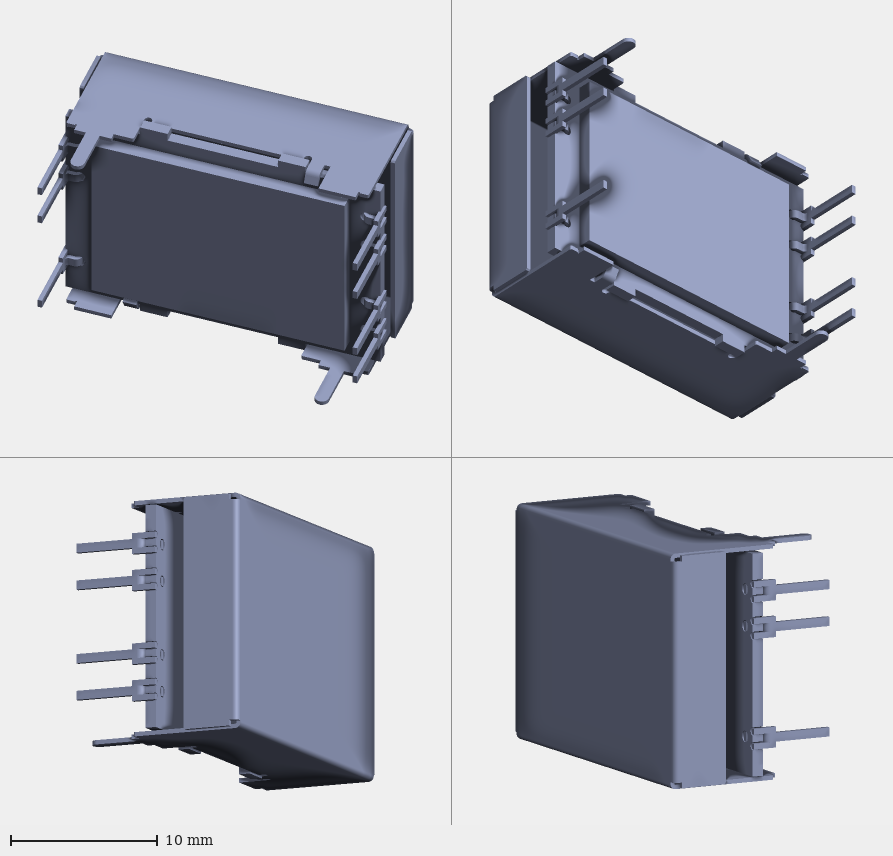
import cadquery as cq
import math


width = 23.15
depth = 12.0
sheet = 0.3
back_y = depth / 2
pin_tip_y = -depth / 2

plate_outer_z = 8.15
plate_inner_z = plate_outer_z - sheet
plate_z = (plate_inner_z, plate_outer_z)
plate_half_x = 10.95
flap_outer_x = 11.42
flap_half_z = 8.04
flap_front_y = 1.95
flap_rear_y = 5.35
flap_corner = 0.12
back_half_z = 7.65
bend_radius = 0.4

foot_front_y = -2.01
foot_corner = 0.15
step_front_y = -2.5
step_inner_x = 7.5
step_outer_x = 10.2
relief_width = 0.12
relief_depth = 0.1
ground_pin_width = 1.0
ground_pin_x = (step_inner_x + step_outer_x) / 2
slot_width = 0.55
slot_outer_x = 6.07
slot_end_y = 0.42

latch_width = 1.0
latch_bend_y = -0.75
latch_bend_radius = 0.2
latch_angle = 62
latch_straight = 0.6

board_back_y = -0.12
board_thickness = 0.79
board_front_y = board_back_y - board_thickness
board_half_x = 11.42
board_half_z = 7.71
lug_inner_x = 4.0
lug_outer_x = 6.0
lug_half_z = 16.6 / 2
block_half_x = 9.17
block_half_z = 6.55
block_thickness = 1.0

inner_row_z = 2.55
outer_row_z = 2 * inner_row_z
left_terminals = (outer_row_z, inner_row_z, -outer_row_z)
right_terminals = (outer_row_z, inner_row_z, -inner_row_z, -outer_row_z)
terminal_outer_x = width / 2
terminal_inner_x = terminal_outer_x - 0.32
head_half_z = 0.72
head_front_y = -1.83
terminal_pin_width = 0.63
window_front_y = -1.45
tongue_thickness = 0.32
leg_bend_radius = 0.19
leg_inner_x = 10.2
leg_hole_radius = 0.4
notch_radius = 0.28


def box(x_range, y_range, z_range):
    """Axis-aligned box between pairs of limits."""
    limits = (x_range, y_range, z_range)
    lows = tuple(min(limit) for limit in limits)
    sizes = tuple(max(limit) - min(limit) for limit in limits)
    return cq.Workplane("XY").box(*sizes, centered=False).translate(lows)


def centred_box(half_x, y_range, half_z):
    """Box centred on the Y axis."""
    return box((-half_x, half_x), y_range, (-half_z, half_z))


def half_turn(body):
    """The same body turned half a turn about Y."""
    return body.rotate((0, 0, 0), (0, 1, 0), 180)



def bent_channel(plane, half_outer, front_y, half_length):
    """U-shaped sheet: two legs and a back wall with rounded bends."""
    def filled_u(half, rear_y, radius):
        return (
            cq.Workplane(plane)
            .moveTo(-half, front_y)
            .lineTo(-half, rear_y - radius)
            .radiusArc((-half + radius, rear_y), radius)
            .lineTo(half - radius, rear_y)
            .radiusArc((half, rear_y - radius), radius)
            .lineTo(half, front_y)
            .close()
            .extrude(half_length, both=True)
        )

    outside = filled_u(half_outer, back_y, bend_radius)
    inside = filled_u(half_outer - sheet, back_y - sheet, bend_radius - sheet)
    return outside.cut(inside)


def side_flap():
    """Tall part of the +X flap, with clipped front corners."""
    flap = box(
        (flap_outer_x - sheet, flap_outer_x),
        (flap_front_y, flap_rear_y),
        (-flap_half_z, flap_half_z),
    )
    return flap.edges("|X and <Y").chamfer(flap_corner)


def rounded_end_slot(x_range, front_y, end_y):
    """Cutter through the upper plate, open to the front, with a round rear end."""
    radius = (x_range[1] - x_range[0]) / 2
    return (
        cq.Workplane("XY", origin=(0, 0, plate_inner_z))
        .moveTo(x_range[0], front_y)
        .lineTo(x_range[0], end_y - radius)
        .radiusArc((x_range[1], end_y - radius), radius)
        .lineTo(x_range[1], front_y)
        .close()
        .extrude(sheet)
    )


def plain_foot():
    """+X foot of the upper plate, reaching in to the slot."""
    foot = box((slot_outer_x, plate_half_x), (foot_front_y, board_back_y), plate_z)
    foot = foot.edges("|Z and <Y").fillet(foot_corner)
    relief = box(
        (step_outer_x, step_outer_x + relief_width),
        (foot_front_y, foot_front_y + relief_depth),
        plate_z,
    )
    step = box((step_inner_x, step_outer_x), (step_front_y, board_back_y), plate_z)
    return foot.cut(relief).union(step)


def ground_pin():
    """Round-ended pin on the -X foot of the upper plate."""
    pin_radius = ground_pin_width / 2
    return (
        cq.Workplane("XY", origin=(-ground_pin_x, 0, plate_inner_z))
        .moveTo(-pin_radius, step_front_y)
        .lineTo(-pin_radius, pin_tip_y + pin_radius)
        .radiusArc((pin_radius, pin_tip_y + pin_radius), -pin_radius)
        .lineTo(pin_radius, step_front_y)
        .close()
        .extrude(sheet)
    )


def latch():
    """Tongue of the upper plate bent inwards under the board."""
    angle = math.radians(latch_angle)
    along = (-math.cos(angle), -math.sin(angle))
    centre_z = plate_inner_z - latch_bend_radius

    def on_bend(radius, swept):
        return (latch_bend_y - radius * math.sin(swept), centre_z + radius * math.cos(swept))

    def past_bend(radius):
        start = on_bend(radius, angle)
        return (start[0] + latch_straight * along[0], start[1] + latch_straight * along[1])

    outer = latch_bend_radius + sheet
    inner = latch_bend_radius
    return (
        cq.Workplane("YZ", origin=(slot_outer_x, 0, 0))
        .moveTo(board_back_y, plate_outer_z)
        .lineTo(latch_bend_y, plate_outer_z)
        .threePointArc(on_bend(outer, angle / 2), on_bend(outer, angle))
        .lineTo(*past_bend(outer))
        .lineTo(*past_bend(inner))
        .lineTo(*on_bend(inner, angle))
        .threePointArc(on_bend(inner, angle / 2), (latch_bend_y, plate_inner_z))
        .lineTo(board_back_y, plate_inner_z)
        .close()
        .extrude(latch_width)
    )


def plate_front():
    """Everything in front of the upper plate's straight edge: two feet, a pin and a latch."""
    latch_bay = box((slot_outer_x, step_inner_x), (foot_front_y, board_back_y), plate_z)
    left_foot = plain_foot().mirror("YZ").union(ground_pin())
    right_foot = plain_foot().cut(latch_bay)
    return left_foot.union(right_foot).union(latch())


def make_can():
    """Plates, side flaps and back wall, with slots, feet and latches."""
    plates = bent_channel("ZY", plate_outer_z, board_back_y, plate_half_x)
    flaps = bent_channel("XY", flap_outer_x, flap_front_y, back_half_z)
    flaps = flaps.union(side_flap()).union(half_turn(side_flap()))
    can = plates.union(flaps)
    slot = rounded_end_slot((slot_outer_x - slot_width, slot_outer_x), board_back_y, slot_end_y)
    for cutter in (slot, slot.mirror("YZ")):
        can = can.cut(cutter).cut(half_turn(cutter))
    return can.union(plate_front()).union(half_turn(plate_front()))



def make_board():
    """Board with two lugs on each long edge and the block on its front face."""
    board_y = (board_front_y, board_back_y)
    board = centred_box(board_half_x, board_y, board_half_z)
    lug_pair = centred_box(lug_outer_x, board_y, lug_half_z).cut(
        centred_box(lug_inner_x, board_y, lug_half_z)
    )
    block = centred_box(block_half_x, (board_front_y - block_thickness, board_front_y), block_half_z)
    return board.union(lug_pair).union(block)



def terminal():
    """+X terminal at mid height: forked head, board tongue and straight pin."""
    head_x = (terminal_inner_x, terminal_outer_x)
    pin_half = terminal_pin_width / 2
    pin_z = (-pin_half, pin_half)
    head = box(head_x, (head_front_y, board_back_y), (-head_half_z, head_half_z))
    window = box(head_x, (window_front_y, board_back_y), pin_z)
    pin = box(head_x, (pin_tip_y, head_front_y), pin_z)
    return head.cut(window).union(pin).union(tongue())


def tongue():
    """Strip bent out of the head's window, along the board and up through its hole."""
    tongue_front_y = board_front_y - tongue_thickness
    root_outer = board_front_y - window_front_y
    root_inner = tongue_front_y - window_front_y
    leg_outer_x = leg_inner_x + tongue_thickness
    leg_outer_bend = leg_bend_radius + tongue_thickness
    bend_x = leg_inner_x + leg_outer_bend
    bend_y = board_front_y + leg_bend_radius
    return (
        cq.Workplane("XY")
        .moveTo(terminal_outer_x, window_front_y)
        .radiusArc((terminal_outer_x - root_outer, board_front_y), -root_outer)
        .lineTo(bend_x, board_front_y)
        .radiusArc((leg_outer_x, bend_y), leg_bend_radius)
        .lineTo(leg_outer_x, board_back_y)
        .lineTo(leg_inner_x, board_back_y)
        .lineTo(leg_inner_x, bend_y)
        .radiusArc((bend_x, tongue_front_y), -leg_outer_bend)
        .lineTo(terminal_inner_x - root_inner, tongue_front_y)
        .radiusArc((terminal_inner_x, window_front_y), root_inner)
        .close()
        .extrude(terminal_pin_width / 2, both=True)
    )


def board_openings():
    """Cutters for the +X terminal: edge notches behind its prongs and a hole for its leg."""
    prong_z = (head_half_z + terminal_pin_width / 2) / 2
    board_back = cq.Workplane("XZ", origin=(0, board_back_y, 0))
    notches = (
        board_back.pushPoints([(board_half_x, prong_z), (board_half_x, -prong_z)])
        .circle(notch_radius)
        .extrude(board_thickness)
    )
    hole_x = leg_inner_x + tongue_thickness / 2
    hole = (
        cq.Workplane("XZ", origin=(hole_x, board_back_y, 0))
        .circle(leg_hole_radius)
        .extrude(board_thickness)
    )
    return notches.union(hole)



right_side = [(height, False) for height in right_terminals]
left_side = [(height, True) for height in left_terminals]

board = make_board()
terminals = []
for height, on_left in right_side + left_side:
    pieces = [board_openings(), terminal()]
    if on_left:
        pieces = [piece.mirror("YZ") for piece in pieces]
    openings, pins = [piece.translate((0, 0, height)) for piece in pieces]
    board = board.cut(openings)
    terminals.append(pins)

result = board.union(make_can())
for pins in terminals:
    result = result.union(pins)